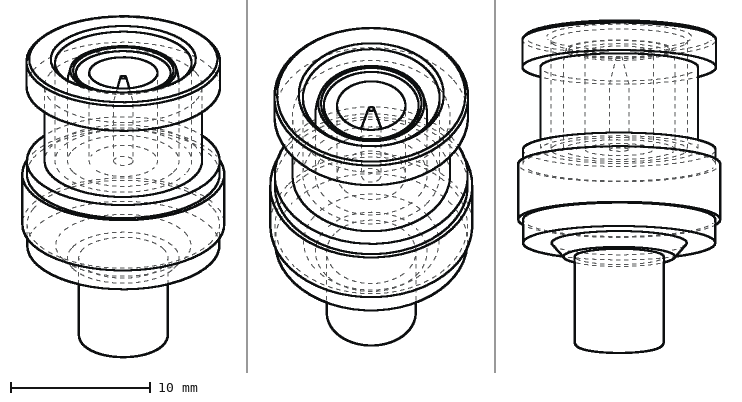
import cadquery as cq

total_height = 22.5
tail_top = 6.5
cone_top = 7.5
grip_bottom = 9.2
grip_top = 13.25
shoulder_top = 14.3
flange_bottom = 20.3

tail_radius = 3.2
tail_edge_radius = 0.3
cone_small_radius = 4.0
cone_large_radius = 4.85
lower_step_radius = 6.9
shoulder_radius = 6.92
grip_radius = 7.25
neck_radius = 5.65
flange_radius = 6.95
flange_chamfer = 0.2

bore_radius = 4.9
bore_chamfer = 0.3
bore_floor = shoulder_top

sleeve_top = total_height - 0.9
sleeve_radius = 4.0
sleeve_rim_radius = 3.8
sleeve_curve_height = 1.0
recess_mouth_radius = 3.6
recess_bevel = 0.2
contact_hole_radius = 2.45

pin_radius = 0.7
pin_tip_radius = 0.2
pin_tip = total_height - 1.45
pin_taper_length = 2.0


def revolve(points):
    """Revolve a closed (radius, height) outline about the Z axis."""
    return cq.Workplane("XZ").polyline(points).close().revolve(360, (0, 0), (0, 1))


def make_body():
    """Stepped outside of the connector, solid inside."""
    body = revolve([
        (0, 0),
        (tail_radius, 0),
        (tail_radius, tail_top),
        (cone_small_radius, tail_top),
        (cone_large_radius, cone_top),
        (lower_step_radius, cone_top),
        (lower_step_radius, grip_bottom),
        (grip_radius, grip_bottom),
        (grip_radius, grip_top),
        (shoulder_radius, grip_top),
        (shoulder_radius, shoulder_top),
        (neck_radius, shoulder_top),
        (neck_radius, flange_bottom),
        (flange_radius, flange_bottom),
        (flange_radius, total_height),
        (0, total_height),
    ])
    body = body.faces("<Z").edges().fillet(tail_edge_radius)
    return body.faces(">Z").edges().chamfer(flange_chamfer)


def make_bore():
    """Socket cut from the top, with a chamfered mouth."""
    return revolve([
        (0, bore_floor),
        (bore_radius, bore_floor),
        (bore_radius, total_height - bore_chamfer),
        (bore_radius + bore_chamfer, total_height),
        (0, total_height),
    ])


def make_sleeve():
    """Hollow inner sleeve standing on the bore floor."""
    recess_floor = sleeve_top - recess_bevel
    outline = (
        cq.Workplane("XZ")
        .moveTo(contact_hole_radius, bore_floor)
        .lineTo(sleeve_radius, bore_floor)
        .lineTo(sleeve_radius, sleeve_top - sleeve_curve_height)
        .tangentArcPoint((sleeve_rim_radius, sleeve_top), relative=False)
        .lineTo(recess_mouth_radius, sleeve_top)
        .lineTo(recess_mouth_radius - recess_bevel, recess_floor)
        .lineTo(contact_hole_radius, recess_floor)
        .close()
    )
    return outline.revolve(360, (0, 0), (0, 1))


def make_pin():
    """Centre contact with a tapered, blunt tip."""
    return revolve([
        (0, bore_floor),
        (pin_radius, bore_floor),
        (pin_radius, pin_tip - pin_taper_length),
        (pin_tip_radius, pin_tip),
        (0, pin_tip),
    ])


result = make_body().cut(make_bore()).union(make_sleeve()).union(make_pin())